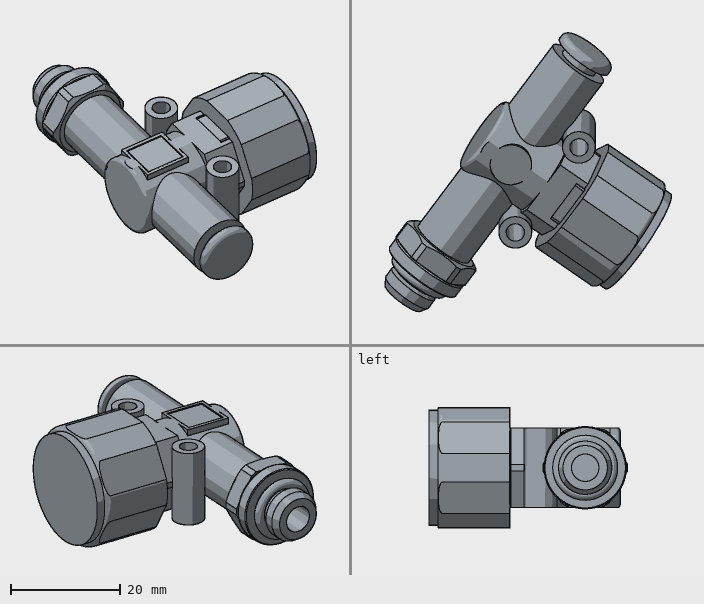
import cadquery as cq
import math


half_depth = 7.3
run_radius = 5.7
run_half_length = 21.1
boss_radius = 7.4
boss_front = -6.4
boss_fillet = 0.75
collar_front = 7.35
collar_corner_radius = 9.15
collar_flat_half_width = 5.25
ear_x = 9.95
ear_y = 8.15
ear_diameter = 6.0
ear_hole_diameter = 3.3
label_half_x = 4.25
label_half_y = 4.5
label_rim = 0.7
label_recess = 0.25
foot_diameter = 7.6

nut_front = 13.75
nut_gap = 0.2
nut_back = 26.95
nut_end = 28.55
nut_across_flats = 22.0
nut_corner_radius = 11.5
nut_fillet = 0.95
nut_ring_radius = nut_corner_radius - nut_fillet
tab_half_width = 4.1
tab_length = 1.9
tab_thickness = 0.6
tab_chamfer_width = 0.4
tab_chamfer_depth = 0.2

stud_end = -33.8
thread_radius = 9.75 / 2
thread_tip_radius = 8.1 / 2
tip_chamfer_length = 1.35
thread_length = 3.25
neck_start = 3.8
neck_radius = 8.2 / 2
bore_radius = 5.0 / 2
seal_section_radius = 0.95
seal_centre_radius = 5.0
seal_embedment = 0.05
flange_start = 6.0
flange_end = 8.7
flange_radius = 7.5
flange_tip_chamfer = 0.2
flange_hex_chamfer_length = 0.35
flange_hex_chamfer_depth = 0.2
hex_across_flats = 14.0
hex_corner_radius = 7.75
hex_chamfer_length = 0.6
hex_chamfer_depth = 1.05

sleeve_neck_radius = 7.2 / 2
sleeve_neck_length = 1.6
sleeve_end = 24.5
sleeve_flange_radius = 11.0 / 2
sleeve_front_fillet = 1.05
sleeve_back_fillet = 0.2


def cylinder_x(radius, x_start, x_end):
    return cq.Workplane("YZ", origin=(x_start, 0, 0)).circle(radius).extrude(x_end - x_start)


def cylinder_y(radius, y_start, y_end):
    return cq.Workplane("XZ", origin=(0, y_start, 0)).circle(radius).extrude(y_start - y_end)


def block(x_half, y_start, y_end, z_start, z_end):
    """Box centred on X = 0."""
    size = (2 * x_half, y_end - y_start, z_end - z_start)
    centre = (0, (y_start + y_end) / 2, (z_start + z_end) / 2)
    return cq.Workplane("XY").box(*size).translate(centre)


def make_tab_slots():
    """Solid that fills the two slots in the upper and lower flats of the branch hexagon."""
    slot = block(tab_half_width, nut_front - tab_length, nut_front, half_depth - tab_thickness, half_depth)
    return slot.union(slot.mirror("XY"))


def make_tabs():
    """Two tabs with bevelled side edges, flush with the flats of the branch hexagon."""
    shoulder = half_depth - tab_chamfer_depth
    root = half_depth - tab_thickness
    top_half_width = tab_half_width - tab_chamfer_width
    outline = [
        (-tab_half_width, root),
        (-tab_half_width, shoulder),
        (-top_half_width, half_depth),
        (top_half_width, half_depth),
        (tab_half_width, shoulder),
        (tab_half_width, root),
    ]
    tab = cq.Workplane("XZ", origin=(0, nut_front, 0)).polyline(outline).close().extrude(tab_length)
    return tab.union(tab.mirror("XY"))


def make_branch_hexagon():
    """Hexagonal collar with its side corners rounded off."""
    side_half_width = collar_flat_half_width + half_depth * math.tan(math.radians(30))
    outline = [
        (collar_flat_half_width, half_depth),
        (side_half_width, 0),
        (collar_flat_half_width, -half_depth),
        (-collar_flat_half_width, -half_depth),
        (-side_half_width, 0),
        (-collar_flat_half_width, half_depth),
    ]
    back = nut_front - nut_gap
    hexagon = cq.Workplane("XZ", origin=(0, collar_front, 0)).polyline(outline).close()
    hexagon = hexagon.extrude(collar_front - back)
    return hexagon.intersect(cylinder_y(collar_corner_radius, collar_front, back))


def make_boss():
    """Round boss with a rounded front rim, cut flat at the top and bottom."""
    boss = cylinder_y(boss_radius, boss_front, collar_front).faces("<Y").edges().fillet(boss_fillet)
    return boss.intersect(block(boss_radius, boss_front, collar_front, -half_depth, half_depth))


def make_tee_body():
    body = make_boss().union(make_branch_hexagon())
    body = body.union(cylinder_x(run_radius, -run_half_length, run_half_length))

    label_frame = block(label_half_x, -label_half_y, label_half_y, 0, half_depth)
    foot = cq.Workplane("XY").circle(foot_diameter / 2).extrude(-half_depth)
    body = body.union(label_frame).union(foot)

    ear_points = [(-ear_x, ear_y), (ear_x, ear_y)]
    bottom = cq.Workplane("XY", origin=(0, 0, -half_depth)).pushPoints(ear_points)
    body = body.union(bottom.circle(ear_diameter / 2).extrude(2 * half_depth))
    body = body.cut(bottom.circle(ear_hole_diameter / 2).extrude(2 * half_depth))

    recess_half_x = label_half_x - label_rim
    recess_half_y = label_half_y - label_rim
    recess = block(recess_half_x, -recess_half_y, recess_half_y, half_depth - label_recess, half_depth)
    return body.cut(recess).cut(make_tab_slots())


def make_nut():
    across_corners = nut_across_flats / math.cos(math.radians(30))
    hexagon = cq.Workplane("XZ", origin=(0, nut_front, 0)).polygon(6, across_corners)
    hexagon = hexagon.extrude(nut_front - nut_back)
    rounding = cylinder_y(nut_corner_radius, nut_front, nut_back).faces(">Y").edges().fillet(nut_fillet)
    ring = cylinder_y(nut_ring_radius, nut_back, nut_end)
    return hexagon.intersect(rounding).union(ring).union(make_tabs())


def make_stud_hexagon():
    """Hexagon with flats facing up and down, its corners turned and its inner end chamfered."""
    start = stud_end + flange_end
    across_corners = hex_across_flats / math.cos(math.radians(30))
    hexagon = cq.Workplane("YZ", origin=(start, 0, 0)).polygon(6, across_corners)
    hexagon = hexagon.extrude(-run_half_length - start)
    rounding = cylinder_x(hex_corner_radius, start, -run_half_length)
    rounding = rounding.faces(">X").chamfer(hex_chamfer_length, hex_chamfer_depth)
    return hexagon.intersect(rounding)


def make_seal():
    """Sealing ring of round section, seated on the neck against the flange."""
    centre_x = stud_end + flange_start + seal_embedment - seal_section_radius
    section = cq.Workplane("XY", origin=(centre_x, seal_centre_radius, 0)).circle(seal_section_radius)
    return section.revolve(360, (0, -seal_centre_radius, 0), (1, -seal_centre_radius, 0))


def make_stud():
    profile = (
        cq.Workplane("XY", origin=(stud_end, 0, 0))
        .moveTo(0, 0)
        .lineTo(0, thread_tip_radius)
        .lineTo(tip_chamfer_length, thread_radius)
        .lineTo(thread_length, thread_radius)
        .lineTo(neck_start, neck_radius)
        .lineTo(flange_start, neck_radius)
        .lineTo(flange_start, flange_radius - flange_tip_chamfer)
        .lineTo(flange_start + flange_tip_chamfer, flange_radius)
        .lineTo(flange_end - flange_hex_chamfer_length, flange_radius)
        .lineTo(flange_end, flange_radius - flange_hex_chamfer_depth)
        .lineTo(flange_end, 0)
        .close()
    )
    turned = profile.revolve(360, (0, 0, 0), (1, 0, 0))
    bore = cylinder_x(bore_radius, stud_end, -run_half_length)
    return turned.union(make_seal()).union(make_stud_hexagon()).cut(bore)


def make_sleeve():
    flange_face = run_half_length + sleeve_neck_length
    flange = cylinder_x(sleeve_flange_radius, flange_face, sleeve_end)
    flange = flange.faces(">X").edges().fillet(sleeve_front_fillet)
    flange = flange.faces("<X").edges().fillet(sleeve_back_fillet)
    return flange.union(cylinder_x(sleeve_neck_radius, run_half_length, flange_face))


tee_body = make_tee_body()
nut = make_nut()
stud = make_stud()
sleeve = make_sleeve()

result = cq.Compound.makeCompound([tee_body.val(), nut.val(), stud.val(), sleeve.val()])